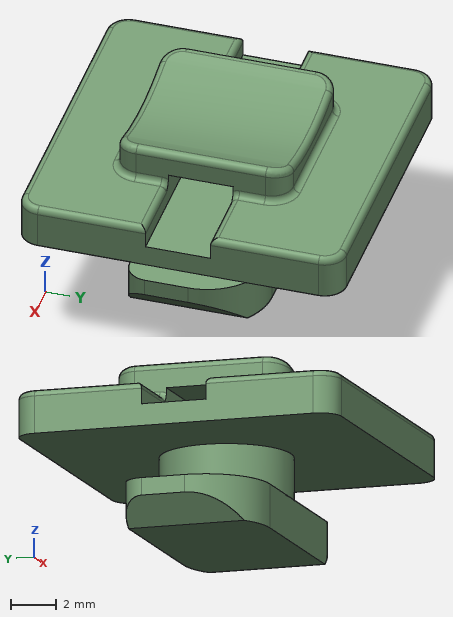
import cadquery as cq

plate_side = 15.0
plate_height = 2.0
corner_radius = 1.0
edge_radius = 0.3

pad_side = 8.0
dish_radius = 11.0
dish_bottom_z = 2.98

slot_width = 3.0
slot_floor_z = 0.99
slot_roof_z = 2.46

stem_diameter = 6.0
stem_height = 2.01
foot_length = 12.0
foot_width = stem_diameter
foot_height = 2.0
foot_small_radius = corner_radius
foot_large_radius = foot_width / 2
foot_bevel = 1.2


def rounded_square(side, height):
    block = cq.Workplane("XY").rect(side, side).extrude(height)
    return block.edges("|Z").fillet(corner_radius)


def slot_block(roof_z):
    height = roof_z - slot_floor_z
    block = cq.Workplane("XY").box(plate_side, slot_width, height, centered=(True, True, False))
    return block.translate((0, 0, slot_floor_z))


def make_plate():
    """Plate with the open slot, rounded along the rim and the slot edges."""
    plate = rounded_square(plate_side, plate_height).cut(slot_block(plate_height))
    return plate.faces(">Z").edges().fillet(edge_radius)


def make_pad():
    """Pad rising from Z = 0, hollowed by a cylinder lying along Y, with a rounded rim."""
    blank_height = dish_bottom_z + dish_radius
    dish = (
        cq.Workplane("XZ")
        .center(0, dish_bottom_z + dish_radius)
        .circle(dish_radius)
        .extrude(pad_side, both=True)
    )
    pad = rounded_square(pad_side, blank_height).cut(dish)
    rim_zone = cq.selectors.BoxSelector(
        (-pad_side, -pad_side, dish_bottom_z),
        (pad_side, pad_side, blank_height),
    )
    return pad.edges(rim_zone).fillet(edge_radius)


def add_pad(plate):
    """Join the pad to the plate, blend its foot and cut the tunnel."""
    body = plate.union(make_pad())
    height_margin = edge_radius / 10
    reach = pad_side / 2 + edge_radius / 2
    base_zone = cq.selectors.BoxSelector(
        (-reach, -reach, plate_height - height_margin),
        (reach, reach, plate_height + height_margin),
    )
    body = body.edges(base_zone).fillet(edge_radius)
    return body.cut(slot_block(slot_roof_z))


def make_foot():
    """Bar with two tight and two wide corners, bevelled at both ends."""
    end_x = foot_length / 2
    side_y = foot_width / 2
    small = foot_small_radius
    large = foot_large_radius
    bar = (
        cq.Workplane("XY")
        .moveTo(-end_x + large, -side_y)
        .lineTo(end_x - small, -side_y)
        .radiusArc((end_x, -side_y + small), -small)
        .lineTo(end_x, side_y - large)
        .radiusArc((end_x - large, side_y), -large)
        .lineTo(-end_x + small, side_y)
        .radiusArc((-end_x, side_y - small), -small)
        .lineTo(-end_x, -side_y + large)
        .radiusArc((-end_x + large, -side_y), -large)
        .close()
        .extrude(-foot_height)
    )
    bevelled_bar = (
        cq.Workplane("XY")
        .box(foot_length, foot_width, foot_height, centered=(True, True, False))
        .translate((0, 0, -foot_height))
        .edges("<Z and |Y")
        .chamfer(foot_bevel)
    )
    return bar.intersect(bevelled_bar).translate((0, 0, -stem_height))


stem = cq.Workplane("XY").circle(stem_diameter / 2).extrude(-stem_height)

result = add_pad(make_plate()).union(stem).union(make_foot())